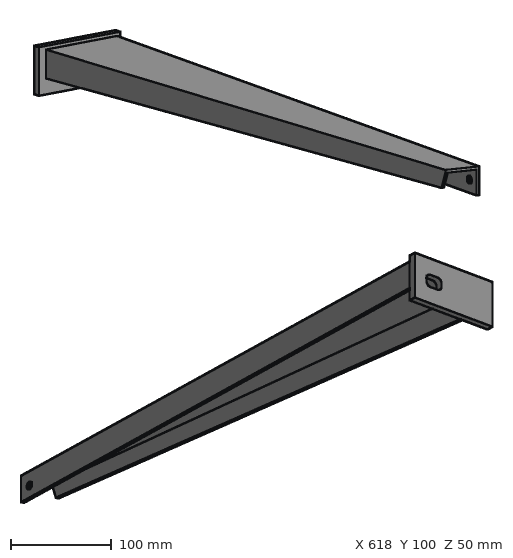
import cadquery as cq

total_length = 618.0
plate_thickness = 8.0
plate_width = 100.0
plate_height = 50.0

slot_length = 20.0
slot_height = 13.5
slot_from_back = 25.0
slot_corner_radius = 5.5

sheet = 3.0
arm_height = 29.5
arm_inset = 4.0
root_width = 88.0
tip_width = 35.0
tip_setback = 9.0
tip_flange_height = 20.0
flange_end_slant = 5.5

tip_hole_diameter = 8.0
tip_hole_from_end = 13.0
tip_hole_drop = 16.0

arm_back = plate_width / 2 - arm_inset
arm_top = plate_height / 2 - arm_inset
arm_bottom = arm_top - arm_height
root_front = arm_back - root_width
tip_front = arm_back - tip_width
front_end = total_length - tip_setback


def make_plate():
    plate = cq.Workplane("XY").box(plate_thickness, plate_width, plate_height)
    plate = plate.translate((plate_thickness / 2, 0, 0))
    slot = (
        cq.Workplane("XY")
        .box(2 * plate_thickness, slot_length, slot_height)
        .edges("|X")
        .fillet(slot_corner_radius)
        .translate((plate_thickness / 2, plate_width / 2 - slot_from_back, 0))
    )
    return plate.cut(slot)


def make_channel():
    """Tapered web with a flange down its back and front edges."""
    outer = (
        cq.Workplane("XY", origin=(0, 0, arm_bottom))
        .polyline([
            (plate_thickness, arm_back),
            (total_length, arm_back),
            (front_end, tip_front),
            (plate_thickness, root_front),
        ])
        .close()
        .extrude(arm_height)
    )
    return outer.faces("<X or >X or <Z").shell(-sheet)


def make_flange_trim():
    """Space below and beyond the front flange, running back to mid-tip."""
    trim_back = arm_back - tip_width / 2
    trim_end = total_length + sheet
    return (
        cq.Workplane("XZ", origin=(0, trim_back, 0))
        .polyline([
            (plate_thickness, arm_bottom),
            (front_end - flange_end_slant, arm_top - tip_flange_height),
            (front_end, arm_top - sheet),
            (trim_end, arm_top - sheet),
            (trim_end, arm_bottom),
        ])
        .close()
        .extrude(plate_width)
    )


def make_tip_hole():
    hole_x = total_length - tip_hole_from_end
    hole_z = arm_top - tip_hole_drop
    return (
        cq.Workplane("XZ", origin=(hole_x, arm_back + sheet, hole_z))
        .circle(tip_hole_diameter / 2)
        .extrude(3 * sheet)
    )


def make_arm():
    return make_channel().cut(make_flange_trim()).cut(make_tip_hole())


wall_plate = make_plate()
arm = make_arm()
result = cq.Compound.makeCompound([wall_plate.val(), arm.val()])